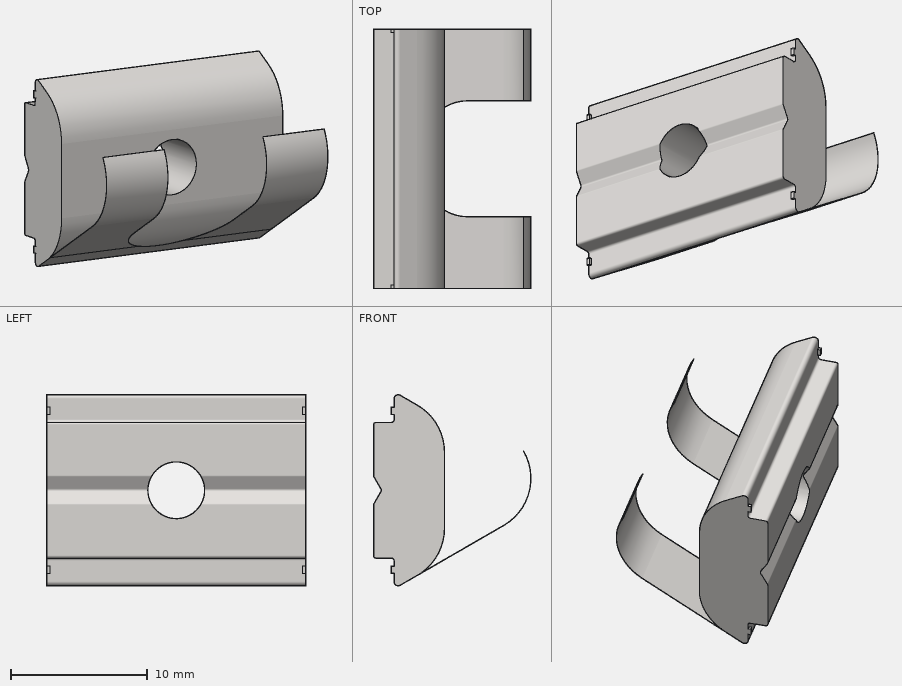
import cadquery as cq
import math

length = 19.0
height = 14.0
depth = 5.2
neck_depth = 1.5
neck_height = 9.95
back_radius = 3.99
slope = math.radians(30)
tip_radius = 0.3
neck_edge_radius = 0.19
neck_root_radius = 0.19

groove_height = 2.05
groove_tip_radius = 0.19
groove_edge_radius = 0.19
bore_diameter = 4.15

tab_depth = 0.2
tab_height = 0.53
tab_length = 0.25
tab_center_z = 5.81

spring_reach = 11.53
spring_thickness = 0.02
spring_radius = 3.99
curl_end = math.radians(30)
slot_width = 8.47

sin_s = math.sin(slope)
cos_s = math.cos(slope)
neck_half = neck_height / 2
corner_z = height / 2 + tip_radius * (math.tan(slope) + 1 / cos_s - 1)
flank_x = depth - back_radius * (1 - sin_s)
flank_z = corner_z - (flank_x - neck_depth) * math.tan(slope)
back_flat_z = flank_z - back_radius * cos_s
arc_mid_angle = (math.pi / 2 - slope) / 2
arc_mid_x = depth - back_radius * (1 - math.cos(arc_mid_angle))
arc_mid_z = back_flat_z + back_radius * math.sin(arc_mid_angle)


def round_edges(body, x, z, radius):
    """Round the two Y-parallel edges at (x, z) and (x, -z)."""
    for edge_z in (z, -z):
        selector = cq.selectors.NearestToPointSelector((x, 0, edge_z))
        body = body.edges("|Y").edges(selector).fillet(radius)
    return body


def make_body():
    groove_half = groove_height / 2
    groove_depth = groove_half * math.tan(slope)
    body = (
        cq.Workplane("XZ")
        .moveTo(0, groove_half)
        .lineTo(0, neck_half)
        .lineTo(neck_depth, neck_half)
        .lineTo(neck_depth, corner_z)
        .lineTo(flank_x, flank_z)
        .threePointArc((arc_mid_x, arc_mid_z), (depth, back_flat_z))
        .lineTo(depth, -back_flat_z)
        .threePointArc((arc_mid_x, -arc_mid_z), (flank_x, -flank_z))
        .lineTo(neck_depth, -corner_z)
        .lineTo(neck_depth, -neck_half)
        .lineTo(0, -neck_half)
        .lineTo(0, -groove_half)
        .lineTo(groove_depth, 0)
        .close()
        .extrude(length / 2, both=True)
    )
    body = round_edges(body, neck_depth, corner_z, tip_radius)
    body = round_edges(body, 0, neck_half, neck_edge_radius)
    body = round_edges(body, neck_depth, neck_half, neck_root_radius)
    body = round_edges(body, 0, groove_half, groove_edge_radius)
    groove_tip = cq.selectors.NearestToPointSelector((groove_depth, 0, 0))
    body = body.edges("|Y").edges(groove_tip).fillet(groove_tip_radius)
    bore = cq.Workplane("YZ").circle(bore_diameter / 2).extrude(depth)
    return body.cut(bore)


def make_tabs():
    tab_y = (length - tab_length) / 2
    centers = [(y, z) for y in (-tab_y, tab_y) for z in (-tab_center_z, tab_center_z)]
    return (
        cq.Workplane("YZ", origin=(neck_depth - tab_depth, 0, 0))
        .pushPoints(centers)
        .rect(tab_length, tab_height)
        .extrude(tab_depth)
    )


def make_spring():
    center_x = spring_reach - spring_radius
    curl_x = center_x + spring_radius * sin_s
    curl_z = -flank_z + (curl_x - flank_x) * math.tan(slope)
    center_z = curl_z + spring_radius * cos_s
    start_x = neck_depth + tip_radius * (1 + sin_s)
    start_z = -corner_z + (start_x - neck_depth) * math.tan(slope)
    curl_start = slope - math.pi / 2
    curl_mid = (curl_start + curl_end) / 2
    inner_radius = spring_radius - spring_thickness

    def curl_point(radius, angle):
        return (center_x + radius * math.cos(angle), center_z + radius * math.sin(angle))

    sheet = (
        cq.Workplane("XZ")
        .moveTo(start_x, start_z)
        .lineTo(curl_x, curl_z)
        .threePointArc(curl_point(spring_radius, curl_mid), curl_point(spring_radius, curl_end))
        .lineTo(*curl_point(inner_radius, curl_end))
        .threePointArc(curl_point(inner_radius, curl_mid), curl_point(inner_radius, curl_start))
        .lineTo(start_x - spring_thickness * sin_s, start_z + spring_thickness * cos_s)
        .close()
        .extrude(length / 2, both=True)
    )

    slot_radius = slot_width / 2
    sheet_plane = cq.Plane(
        origin=(flank_x, 0, -flank_z), xDir=(cos_s, 0, sin_s), normal=(-sin_s, 0, cos_s)
    )
    slot = (
        cq.Workplane(sheet_plane)
        .moveTo(slot_radius, -slot_radius)
        .lineTo(spring_reach, -slot_radius)
        .lineTo(spring_reach, slot_radius)
        .lineTo(slot_radius, slot_radius)
        .threePointArc((0, 0), (slot_radius, -slot_radius))
        .close()
        .extrude(height, both=True)
    )
    return sheet.cut(slot)


result = make_body().union(make_tabs()).union(make_spring())